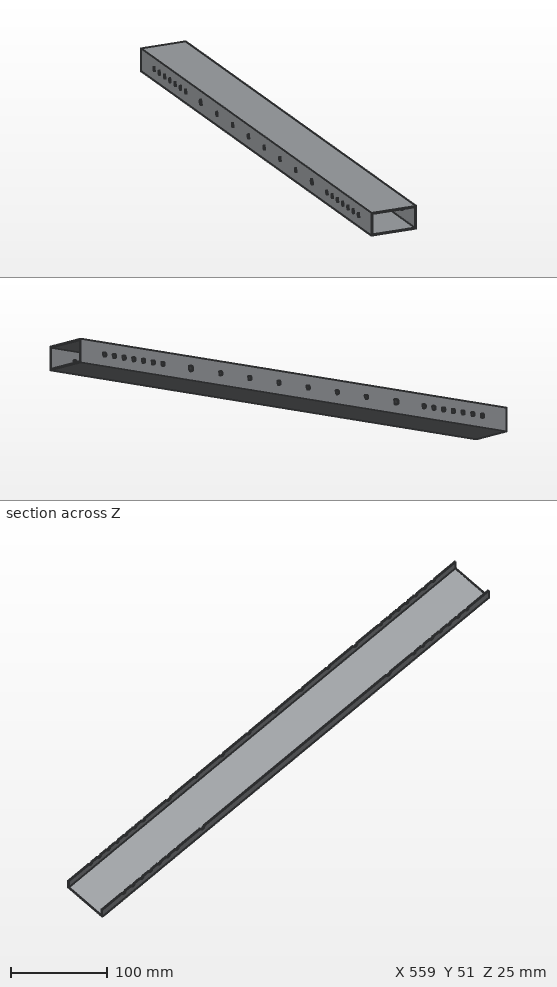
import cadquery as cq

length = 559.0
depth = 51.0
height = 25.0
wall = 1.55

end_hole_diameter = 4.75
end_hole_count = 7
end_row_span = 76.5
end_row_center = 209.5
end_hole_pitch = end_row_span / (end_hole_count - 1)

through_hole_diameter = 6.0
through_hole_offset = 134.5

middle_hole_diameter = 4.75
middle_hole_count = 6
middle_row_span = 191.0
middle_hole_pitch = middle_row_span / (middle_hole_count - 1)


def row(center, pitch, count):
    """X positions of evenly spaced holes about a center."""
    return [center + (i - (count - 1) / 2) * pitch for i in range(count)]


def drills(positions, diameter, drill_depth):
    """Cylinders entering the front (-Y) side at mid height."""
    return (
        cq.Workplane("XZ", origin=(0, -depth / 2, 0))
        .pushPoints([(x, 0) for x in positions])
        .circle(diameter / 2)
        .extrude(-drill_depth)
    )


tube = (
    cq.Workplane("YZ")
    .rect(depth, height)
    .rect(depth - 2 * wall, height - 2 * wall)
    .extrude(length / 2, both=True)
)

for side in (-1, 1):
    end_row = row(side * end_row_center, end_hole_pitch, end_hole_count)
    tube = tube.cut(drills(end_row, end_hole_diameter, depth))
through_pair = [-through_hole_offset, through_hole_offset]
tube = tube.cut(drills(through_pair, through_hole_diameter, depth))

middle_row = row(0, middle_hole_pitch, middle_hole_count)
result = tube.cut(drills(middle_row, middle_hole_diameter, 2 * wall))